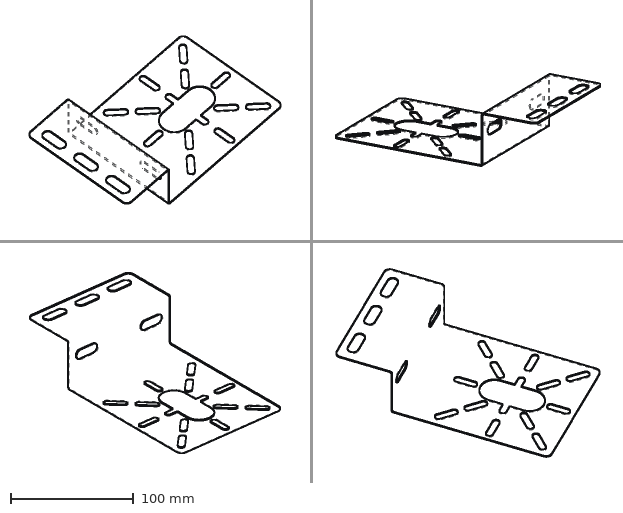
import cadquery as cq
import math

width = 110.0
depth = 190.0
thickness = 1.2
flange_rise = 45.0
flange_reach = 50.0
height = flange_rise + thickness
bend_inner_radius = 1.2
bend_outer_radius = bend_inner_radius + thickness
corner_radius = 5.0

front_edge = -depth / 2
rear_edge = depth / 2
web_front = front_edge + flange_reach
web_rear = web_front + thickness

mount_slot_length = 23.0
mount_slot_width = 9.0
mount_slot_pitch = 35.0
flange_slot_setback = 11.0
web_slot_drop = 18.0

pattern_setback = 56.0
pattern_y = rear_edge - pattern_setback
star_slot_length = 20.0
star_slot_width = 6.0
straight_slot_radius = 41.0
diagonal_slot_radii = (32.0, 58.0)
star_pitch_angle = 45
opening_length = 56.0
opening_width = 25.0
cross_slot_length = 45.0


def make_sheet():
    """Bent sheet: a Z profile in the YZ plane, centred across the width."""
    profile = [
        (rear_edge, 0),
        (web_front, 0),
        (web_front, height - thickness),
        (front_edge, height - thickness),
        (front_edge, height),
        (web_rear, height),
        (web_rear, thickness),
        (rear_edge, thickness),
    ]
    return cq.Workplane("YZ").polyline(profile).close().extrude(width / 2, both=True)


def bend_edge(y, z):
    """Selector for the edge along X nearest to the given Y and Z."""
    return cq.selectors.NearestToPointSelector((0, y, z))


def round_bends(sheet):
    """Concentric inner and outer radii on both bends."""
    inner_corners = [(web_rear, thickness), (web_front, height - thickness)]
    outer_corners = [(web_front, 0), (web_rear, height)]
    for y, z in inner_corners:
        sheet = sheet.edges("|X").edges(bend_edge(y, z)).fillet(bend_inner_radius)
    for y, z in outer_corners:
        sheet = sheet.edges("|X").edges(bend_edge(y, z)).fillet(bend_outer_radius)
    return sheet


def round_free_corners(sheet):
    """Plan-view corners at the rear edge and at the front edge."""
    return sheet.faces("<Y or >Y").edges("|Z").fillet(corner_radius)


def plan_slot(x, y, length, slot_width, angle=0.0):
    """Vertical cutter for a slot, spanning the full height of the part."""
    return cq.Workplane("XY").center(x, y).slot2D(length, slot_width, angle).extrude(height)


def cut_star_slots(sheet):
    """Slots aimed at the pattern centre: one per straight ray, two per diagonal ray."""
    for angle in range(0, 360, star_pitch_angle):
        is_straight = angle % 90 == 0
        radii = (straight_slot_radius,) if is_straight else diagonal_slot_radii
        for radius in radii:
            x = radius * math.cos(math.radians(angle))
            y = pattern_y + radius * math.sin(math.radians(angle))
            sheet = sheet.cut(plan_slot(x, y, star_slot_length, star_slot_width, angle))
    return sheet


def cut_central_opening(sheet):
    """Oblong opening along Y, crossed by a narrow slot along X."""
    sheet = sheet.cut(plan_slot(0, pattern_y, opening_length, opening_width, 90))
    return sheet.cut(plan_slot(0, pattern_y, cross_slot_length, star_slot_width))


def cut_flange_slots(sheet):
    """Row of three slots near the front edge."""
    y = front_edge + flange_slot_setback
    for x in (-mount_slot_pitch, 0, mount_slot_pitch):
        sheet = sheet.cut(plan_slot(x, y, mount_slot_length, mount_slot_width))
    return sheet


def cut_web_slots(sheet):
    """Two slots through the web, in line with the outer flange slots."""
    cutters = (
        cq.Workplane("XZ", origin=(0, web_rear, height - web_slot_drop))
        .pushPoints([(-mount_slot_pitch, 0), (mount_slot_pitch, 0)])
        .slot2D(mount_slot_length, mount_slot_width)
        .extrude(thickness)
    )
    return sheet.cut(cutters)


bracket = round_free_corners(round_bends(make_sheet()))
bracket = cut_star_slots(bracket)
bracket = cut_central_opening(bracket)
bracket = cut_flange_slots(bracket)
result = cut_web_slots(bracket)